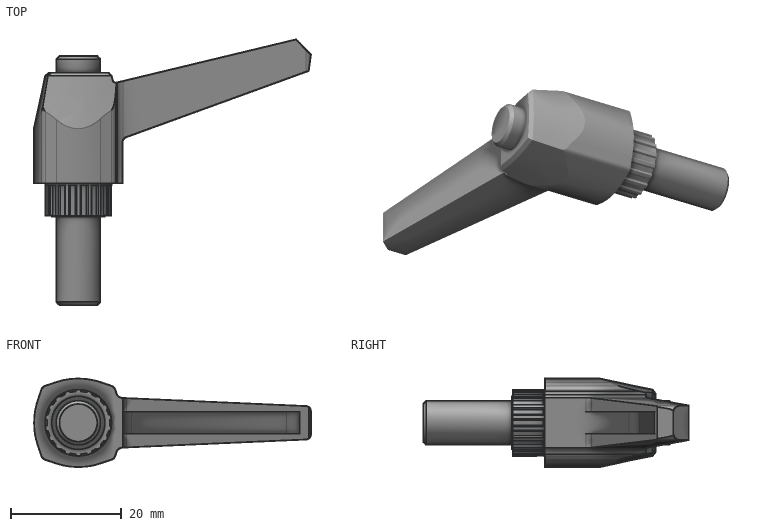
import cadquery as cq
import math


HUB_HALF = 8.0
HUB_TOP = 20.0
BULGE_HALF = 4.0
BULGE_RADIUS = 12.6
HUB_CORNER_RADIUS = 1.2
TOP_CHAMFER = 0.6

BEVEL_START = 10.0
TOP_MIDDLE = 5.87
TOP_CORNER = 5.38
BASE_CORNER = 7.05

SHOULDER_X = 6.02
SHOULDER_FOOT_X = 6.2
SHOULDER_FOOT_Y = 18.7
SHOULDER_LOW_X = 6.9
SHOULDER_LOW_Y = 18.2

ARM_ROOT_HALF = 4.5
ARM_TIP_HALF = 3.0
ARM_TIP_X = 42.0
ARM_TIP_RADIUS = 1.0
ARM_FLARE_RADIUS = 1.2
ARM_TOP_X = 39.3
ARM_TOP_Y = 26.0
ARM_NOSE_Y = 23.2
ARM_HEEL_X = 41.6
ARM_HEEL_Y = 20.3
ARM_UNDER_ROOT_Y = 8.09
ARM_UNDER_FILLET = 1.0

POCKET_HALF = 2.0
POCKET_END_X = 40.0
POCKET_WALL = 1.8
POCKET_RADIUS = 2.0

COLLAR_RADIUS = 6.0
COLLAR_RIM = 0.3
COLLAR_BOTTOM = -5.8
LIP_RADIUS = 4.8
LIP_BOTTOM = -6.0
NOTCH_COUNT = 18
NOTCH_MOUTH = 1.55
NOTCH_FLOOR = 0.92
NOTCH_DEPTH = 0.35
STUD_RADIUS = 4.0
STUD_BOTTOM = -22.0
HEAD_TOP = 23.0
STUD_CHAMFER = 0.6

TOP_SLOPE = (ARM_TOP_Y - SHOULDER_LOW_Y) / (ARM_TOP_X - SHOULDER_LOW_X)


def arm_top(x):
    """Y of the upper edge of the arm."""
    return SHOULDER_LOW_Y + TOP_SLOPE * (x - SHOULDER_LOW_X)


def plane_at(y):
    """XZ work plane at the given Y, with +X right, +Z up and normal -Y."""
    return cq.Workplane("XZ", origin=(0, y, 0))


def fillet_at(body, point, radius):
    """Round the edge whose middle lies nearest to the point."""
    return body.edges(cq.selectors.NearestToPointSelector(point)).fillet(radius)


def cylinder(radius, y_low, y_high):
    """Round bar on the Y axis."""
    return plane_at(y_high).circle(radius).extrude(y_high - y_low)


def hub_prism():
    """Square prism with four bulged sides and rounded corners."""
    sweep = math.asin(BULGE_HALF / BULGE_RADIUS)
    bulge_end = HUB_HALF - BULGE_RADIUS * (1 - math.cos(sweep))
    slope = math.tan(sweep)
    corner = (bulge_end + slope * BULGE_HALF) / (1 + slope)
    outline = plane_at(HUB_TOP).moveTo(-corner, corner)
    for side in range(4):
        turn = -math.pi / 2 * side

        def turned(x, z):
            return (x * math.cos(turn) - z * math.sin(turn), x * math.sin(turn) + z * math.cos(turn))

        outline = outline.lineTo(*turned(-BULGE_HALF, bulge_end))
        outline = outline.threePointArc(turned(0, HUB_HALF), turned(BULGE_HALF, bulge_end))
        if side < 3:
            outline = outline.lineTo(*turned(corner, corner))
    prism = outline.close().extrude(HUB_TOP)
    for x in (-corner, corner):
        for z in (-corner, corner):
            prism = fillet_at(prism, (x, HUB_TOP / 2, z), HUB_CORNER_RADIUS)
    return prism


def arm_root():
    """Neck joining the hub to the arm, flaring out into the hub sides."""
    flare_x = HUB_HALF - ARM_FLARE_RADIUS
    flare_z = ARM_ROOT_HALF + ARM_FLARE_RADIUS
    bend = ARM_FLARE_RADIUS * (1 - math.sqrt(0.5))
    return (
        plane_at(HUB_TOP)
        .moveTo(0, flare_z)
        .lineTo(flare_x, flare_z)
        .threePointArc((flare_x + bend, ARM_ROOT_HALF + bend), (HUB_HALF, ARM_ROOT_HALF))
        .lineTo(HUB_HALF, -ARM_ROOT_HALF)
        .threePointArc((flare_x + bend, -ARM_ROOT_HALF - bend), (flare_x, -flare_z))
        .lineTo(0, -flare_z)
        .close()
        .extrude(HUB_TOP)
    )


def bevel_section(workplane, y):
    """Section of the bevel envelope: bulged on -X and +/-Z, flat on +X."""
    fraction = (HUB_TOP - y) / (HUB_TOP - BEVEL_START)
    middle = TOP_MIDDLE + fraction * (HUB_HALF - TOP_MIDDLE)
    corner = TOP_CORNER + fraction * (BASE_CORNER - TOP_CORNER)
    bulge = middle - corner
    radius = (corner ** 2 + bulge ** 2) / (2 * bulge)
    right_z = middle - radius + math.sqrt(radius ** 2 - HUB_HALF ** 2)
    return (
        workplane
        .moveTo(-corner, corner)
        .threePointArc((0, middle), (HUB_HALF, right_z))
        .lineTo(HUB_HALF, -right_z)
        .threePointArc((0, -middle), (-corner, -corner))
        .threePointArc((-middle, 0), (-corner, corner))
        .close()
    )


def bevel_envelope():
    """Tapering body that cuts the bevels and their top chamfer."""
    section = bevel_section(plane_at(HUB_TOP), HUB_TOP)
    section = bevel_section(section.workplane(offset=HUB_TOP), 0)
    envelope = section.loft(ruled=True, combine=True)
    return envelope.edges(">Y exc >X").chamfer(TOP_CHAMFER)


def hub_side_outline():
    """Slab trimming the +X side of the hub down to the arm shoulder."""
    return (
        cq.Workplane("XY")
        .moveTo(-HUB_HALF, 0)
        .lineTo(HUB_HALF, 0)
        .lineTo(HUB_HALF, arm_top(HUB_HALF))
        .lineTo(SHOULDER_LOW_X, SHOULDER_LOW_Y)
        .tangentArcPoint((SHOULDER_FOOT_X, SHOULDER_FOOT_Y), relative=False)
        .lineTo(SHOULDER_X, HUB_TOP - TOP_CHAMFER)
        .lineTo(SHOULDER_X - TOP_CHAMFER, HUB_TOP)
        .lineTo(-HUB_HALF, HUB_TOP)
        .close()
        .extrude(HUB_HALF, both=True)
    )


def arm():
    """Tapered arm: side outline crossed with plan outline."""
    side = (
        cq.Workplane("XY")
        .moveTo(0, 0)
        .lineTo(HUB_HALF, 0)
        .lineTo(HUB_HALF, ARM_UNDER_ROOT_Y)
        .lineTo(ARM_HEEL_X, ARM_HEEL_Y)
        .lineTo(ARM_TIP_X, ARM_NOSE_Y)
        .lineTo(ARM_TOP_X, ARM_TOP_Y)
        .lineTo(HUB_HALF, arm_top(HUB_HALF))
        .lineTo(0, arm_top(0))
        .close()
        .extrude(HUB_HALF, both=True)
    )
    side = fillet_at(side, (HUB_HALF, ARM_UNDER_ROOT_Y, 0), ARM_UNDER_FILLET)
    plan = (
        plane_at(ARM_TOP_Y)
        .moveTo(HUB_HALF, ARM_ROOT_HALF)
        .lineTo(ARM_TIP_X, ARM_TIP_HALF)
        .lineTo(ARM_TIP_X, -ARM_TIP_HALF)
        .lineTo(HUB_HALF, -ARM_ROOT_HALF)
        .close()
        .extrude(ARM_TOP_Y)
        .edges("|Y and >X")
        .fillet(ARM_TIP_RADIUS)
    )
    return side.intersect(plan)


def arm_pocket():
    """Long pocket open towards -Y, with its floor parallel to the top of the arm."""
    floor_root = (HUB_HALF, arm_top(HUB_HALF) - POCKET_WALL)
    floor_end = (POCKET_END_X, arm_top(POCKET_END_X) - POCKET_WALL)
    pocket = (
        cq.Workplane("XY")
        .moveTo(HUB_HALF, 0)
        .lineTo(*floor_root)
        .lineTo(*floor_end)
        .lineTo(POCKET_END_X, 0)
        .close()
        .extrude(POCKET_HALF, both=True)
    )
    pocket = fillet_at(pocket, (*floor_end, 0), POCKET_RADIUS)
    return fillet_at(pocket, (*floor_root, 0), POCKET_RADIUS)


def collar_notch():
    """One notch on the +X side of the collar, its walls opening outwards."""
    flare = (NOTCH_MOUTH - NOTCH_FLOOR) / 2
    inner_x = COLLAR_RADIUS - NOTCH_DEPTH
    outer_x = COLLAR_RADIUS + NOTCH_DEPTH
    outer_half = NOTCH_MOUTH / 2 + flare
    return (
        plane_at(-COLLAR_RIM)
        .moveTo(inner_x, NOTCH_FLOOR / 2)
        .lineTo(outer_x, outer_half)
        .lineTo(outer_x, -outer_half)
        .lineTo(inner_x, -NOTCH_FLOOR / 2)
        .close()
        .extrude(-COLLAR_RIM - COLLAR_BOTTOM)
    )


def toothed_collar():
    """Collar with notches around its rim and a thin lip underneath."""
    collar = cylinder(COLLAR_RADIUS, COLLAR_BOTTOM, 0)
    for index in range(NOTCH_COUNT):
        collar = collar.cut(collar_notch().rotate((0, 0, 0), (0, 1, 0), index * 360 / NOTCH_COUNT))
    return collar.union(cylinder(LIP_RADIUS, LIP_BOTTOM, COLLAR_BOTTOM))


def stud():
    """Stud through the whole hub, ending in the screw head above it."""
    return cylinder(STUD_RADIUS, STUD_BOTTOM, HEAD_TOP).faces("<Y or >Y").chamfer(STUD_CHAMFER)


hub = hub_prism().union(arm_root()).intersect(bevel_envelope()).intersect(hub_side_outline())
lever = hub.union(arm().cut(arm_pocket()))
result = lever.union(toothed_collar()).union(stud())